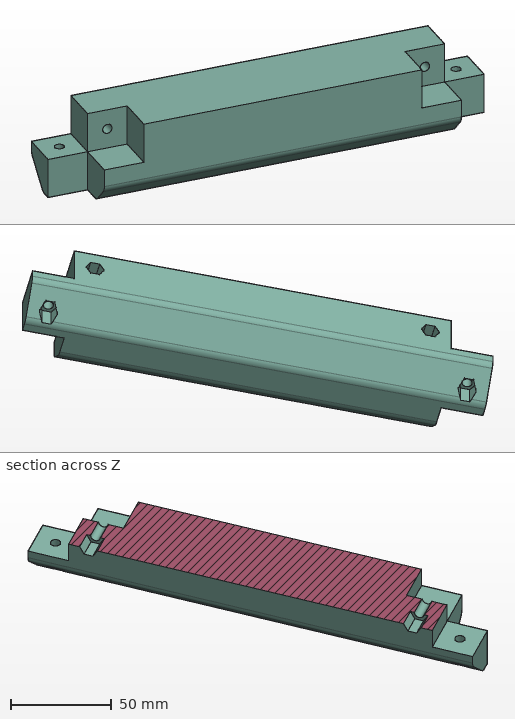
import cadquery as cq
import math

LENGTH = 235.34
SECTION = 42.7
CELL = 21.33
HALF_LENGTH = LENGTH / 2
SHELF_Z = SECTION - CELL

LEFT_CHAMFER = 15.0
RIGHT_CHAMFER = 10.0
BEVEL_RADIUS = 5.0

BOLT_DIAMETER = 5.0
NUT_ACROSS_FLATS = 8.0
NUT_ACROSS_CORNERS = NUT_ACROSS_FLATS / math.cos(math.pi / 6)
NUT_DEPTH = 10.0
CORNERS_ALONG_LOCAL_X = 0
CORNERS_ALONG_LOCAL_Y = 90

BOLT_OFFSET = CELL / 2
BOTTOM_BOLT_Y = HALF_LENGTH - BOLT_OFFSET
SIDE_BOLT_Y = BOTTOM_BOLT_Y - CELL
SIDE_BOLT_Z = SECTION - BOLT_OFFSET


def make_bar():
    """Full-length bar with rounded bevels along its two lower edges."""
    bar = (
        cq.Workplane("XZ", origin=(0, HALF_LENGTH, 0))
        .moveTo(LEFT_CHAMFER, 0)
        .lineTo(SECTION - RIGHT_CHAMFER, 0)
        .lineTo(SECTION, RIGHT_CHAMFER)
        .lineTo(SECTION, SECTION)
        .lineTo(0, SECTION)
        .lineTo(0, LEFT_CHAMFER)
        .close()
        .extrude(LENGTH)
    )
    lower_half = cq.selectors.BoxSelector((-CELL, -LENGTH, -CELL), (SECTION + CELL, LENGTH, CELL))
    return bar.edges("|Y").edges(lower_half).fillet(BEVEL_RADIUS)


def end_cut(end, cells_long, x_start, z_start):
    """Block covering everything beyond x_start and z_start over one end of the bar."""
    cut_length = cells_long * CELL
    return (
        cq.Workplane("XY")
        .box(SECTION - x_start, cut_length, SECTION - z_start, centered=(False, True, False))
        .translate((x_start, end * (HALF_LENGTH - cut_length / 2), z_start))
    )


def cut_steps(body, end):
    """Steps one end so that only the lower -X cell keeps the full length."""
    right_column = end_cut(end, cells_long=1, x_start=CELL, z_start=0)
    top_row = end_cut(end, cells_long=1, x_start=0, z_start=SHELF_Z)
    upper_right_cell = end_cut(end, cells_long=2, x_start=CELL, z_start=SHELF_Z)
    return body.cut(right_column).cut(top_row).cut(upper_right_cell)


def bolt_with_nut(plane, origin, nut_turn):
    """Through bolt hole with a hexagonal nut pocket that opens at the origin."""
    start = cq.Workplane(plane, origin=origin)
    bolt = start.circle(BOLT_DIAMETER / 2).extrude(SECTION)
    nut = (
        start.transformed(rotate=(0, 0, nut_turn))
        .polygon(6, NUT_ACROSS_CORNERS)
        .extrude(NUT_DEPTH)
    )
    return bolt.union(nut)


def cut_bolts(body, end):
    """One bolt across the bar and one up through the projecting cell at one end."""
    side_origin = (0, end * SIDE_BOLT_Y, SIDE_BOLT_Z)
    bottom_origin = (BOLT_OFFSET, end * BOTTOM_BOLT_Y, 0)
    side_bolt = bolt_with_nut("YZ", side_origin, CORNERS_ALONG_LOCAL_X)
    bottom_bolt = bolt_with_nut("XY", bottom_origin, CORNERS_ALONG_LOCAL_Y)
    return body.cut(side_bolt).cut(bottom_bolt)


result = make_bar()
for end in (-1, 1):
    result = cut_steps(result, end)
    result = cut_bolts(result, end)